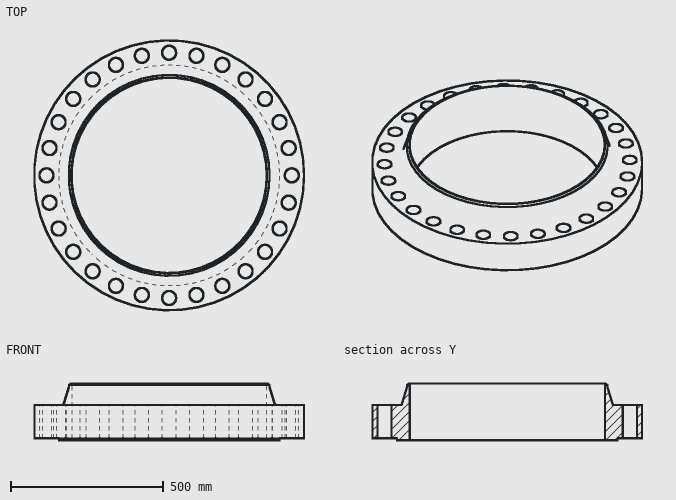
import cadquery as cq
import math

flange_radius = 444.0
flange_thickness = 110.0

raised_face_radius = 363.5
raised_face_height = 6.0

overall_height = 187.5
bore_radius = 321.0
pipe_radius = 331.0
hub_base_radius = 347.5
base_fillet_reach = 6.0
base_fillet_height = 4.0
pipe_end_height = 11.5

weld_land = 2.0
weld_bevel_angle = 37.5

bolt_count = 28
bolt_hole_diameter = 45.0
bolt_circle_radius = 403.5

plate_bottom = raised_face_height
plate_top = plate_bottom + flange_thickness
land_radius = bore_radius + weld_land
bevel_height = (pipe_radius - land_radius) * math.tan(math.radians(weld_bevel_angle))


def ring_body():
    """Revolve the radial cross-section (radius, height) around the Z axis."""
    fillet_start = (hub_base_radius + base_fillet_reach, plate_top)
    fillet_end = (hub_base_radius, plate_top + base_fillet_height)
    profile = (
        cq.Workplane("XZ")
        .moveTo(bore_radius, 0)
        .lineTo(raised_face_radius, 0)
        .lineTo(raised_face_radius, plate_bottom)
        .lineTo(flange_radius, plate_bottom)
        .lineTo(flange_radius, plate_top)
        .lineTo(*fillet_start)
        .tangentArcPoint(fillet_end, relative=False)
        .lineTo(pipe_radius, overall_height - pipe_end_height)
        .lineTo(pipe_radius, overall_height - bevel_height)
        .lineTo(land_radius, overall_height)
        .lineTo(bore_radius, overall_height)
        .close()
    )
    return profile.revolve(360, (0, 0, 0), (0, 1, 0))


def bolt_holes():
    """Through cylinders, the first one on the +X axis."""
    return (
        cq.Workplane("XY")
        .polarArray(bolt_circle_radius, 0, 360, bolt_count)
        .circle(bolt_hole_diameter / 2)
        .extrude(plate_top)
    )


result = ring_body().cut(bolt_holes())